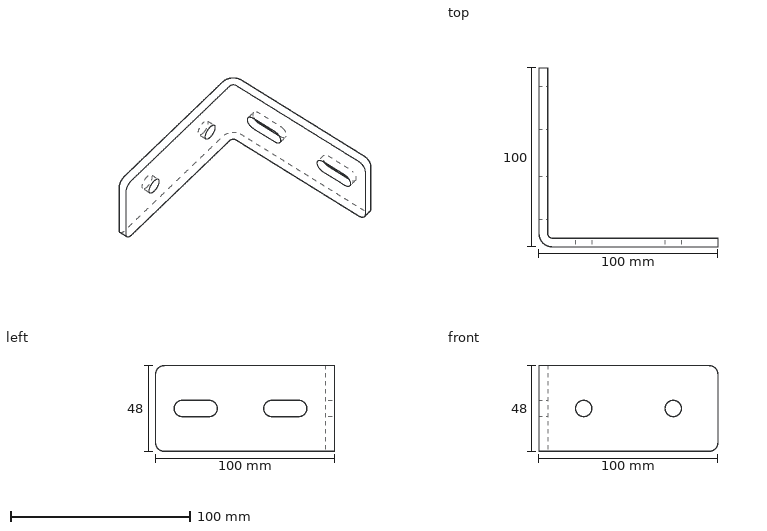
import cadquery as cq

leg_length = 100.0
height = 48.0
thickness = 5.0
inner_bend_radius = 2.5
outer_bend_radius = inner_bend_radius + thickness
corner_radius = 5.0

opening_width = 9.0
hole_positions = (25.0, 75.0)
slot_length = 24.0
slot_positions = (27.5, 77.5)

mid_height = height / 2


def bent_plate():
    """L-shaped plate with concentric bend radii and rounded free corners."""
    plate = (
        cq.Workplane("XY")
        .polyline([
            (0, 0),
            (leg_length, 0),
            (leg_length, thickness),
            (thickness, thickness),
            (thickness, leg_length),
            (0, leg_length),
        ])
        .close()
        .extrude(height)
    )
    outer_corner = cq.selectors.NearestToPointSelector((0, 0, mid_height))
    plate = plate.edges("|Z").edges(outer_corner).fillet(outer_bend_radius)
    inner_corner = cq.selectors.NearestToPointSelector((thickness, thickness, mid_height))
    plate = plate.edges("|Z").edges(inner_corner).fillet(inner_bend_radius)
    plate = plate.faces(">X").edges("|Y").fillet(corner_radius)
    return plate.faces(">Y").edges("|X").fillet(corner_radius)


def hole_cutters():
    """Round holes through the leg that runs along X."""
    return (
        cq.Workplane("XZ")
        .pushPoints([(x, mid_height) for x in hole_positions])
        .circle(opening_width / 2)
        .extrude(-thickness)
    )


def slot_cutters():
    """Lengthwise slots through the leg that runs along Y."""
    return (
        cq.Workplane("YZ")
        .pushPoints([(y, mid_height) for y in slot_positions])
        .slot2D(slot_length, opening_width)
        .extrude(thickness)
    )


result = bent_plate().cut(hole_cutters()).cut(slot_cutters())